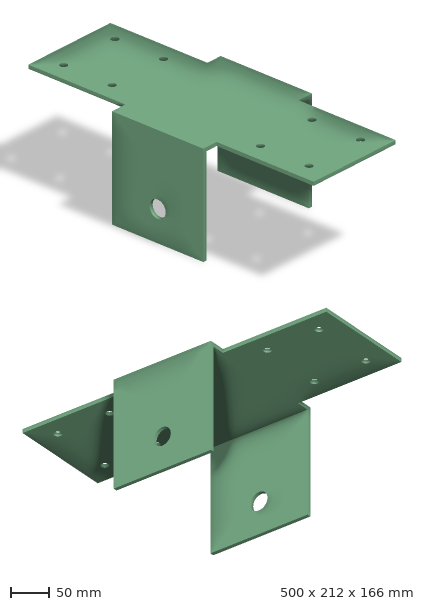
import cadquery as cq

thickness = 6
plate_length = 500
plate_width = 160
inner_gap = 200
saddle_length = 160
leg_depth = 160

wing_hole_diameter = 12
wing_hole_inner_x = 130
wing_hole_pitch_x = 85
wing_hole_pitch_y = 100

pin_hole_diameter = 28
pin_hole_edge_distance = 50

saddle_width = inner_gap + 2 * thickness
total_height = leg_depth + thickness


def make_wing_plate():
    """Long flat plate with its top face at Z = 0."""
    return cq.Workplane("XY").box(
        plate_length, plate_width, thickness, centered=(True, True, False)
    ).translate((0, 0, -thickness))


def make_saddle():
    """Inverted U channel: a top web with a leg down each side."""
    outer = cq.Workplane("XY").box(
        saddle_length, saddle_width, total_height, centered=(True, True, False)
    )
    gap = cq.Workplane("XY").box(
        saddle_length, inner_gap, leg_depth, centered=(True, True, False)
    )
    return outer.cut(gap).translate((0, 0, -total_height))


def make_wing_holes():
    """Four bolt holes through each wing."""
    wing_hole_outer_x = wing_hole_inner_x + wing_hole_pitch_x
    points = [
        (side_x * x, side_y * wing_hole_pitch_y / 2)
        for x in (wing_hole_inner_x, wing_hole_outer_x)
        for side_x in (-1, 1)
        for side_y in (-1, 1)
    ]
    return (
        cq.Workplane("XY")
        .pushPoints(points)
        .circle(wing_hole_diameter / 2)
        .extrude(-thickness)
    )


def make_pin_hole():
    """One pin axis along Y passing through both legs."""
    pin_z = pin_hole_edge_distance - total_height
    return (
        cq.Workplane("XZ")
        .center(0, pin_z)
        .circle(pin_hole_diameter / 2)
        .extrude(saddle_width / 2, both=True)
    )


bracket = make_wing_plate().union(make_saddle())
result = bracket.cut(make_wing_holes()).cut(make_pin_hole())